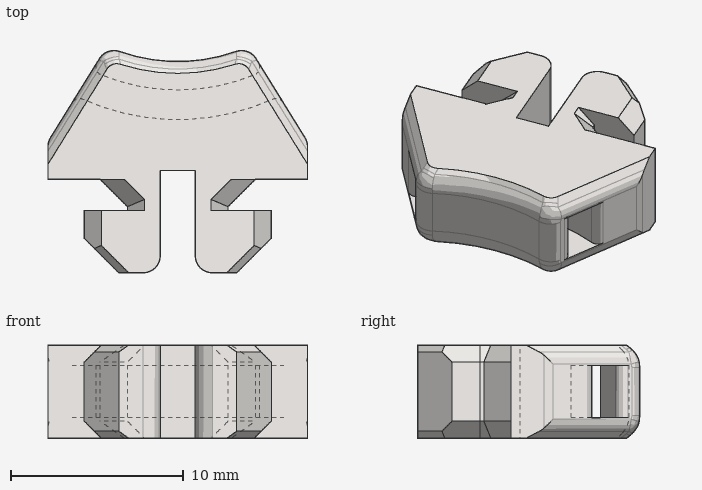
import cadquery as cq
import math

half_width = 7.52
half_thick = 5.4 / 2
body_bottom = 5.42
top_y = 12.88

shoulder_y = 7.6
shoulder_angle = math.radians(58.2)
scoop_radius = 10.01
scoop_bottom = 12.25
head_chamfer = 0.69
round_radius = 1.0
scoop_rim_radius = 1.5
blank_top = 14.3

tunnel_wall = 1.65
tunnel_gap = 1.72
tunnel_height = 3.01
tunnel_lip_radius = 0.5

neck_half_width = 2.92
flare_start = 3.84
foot_top = 3.63
foot_half_width = 5.42
foot_bevel = 2.0
slot_half_width = 1.01
slot_top = 5.93
side_chamfer = 1.0
bevel_chamfer = 0.4
overlap = 0.3
margin = 0.15

scoop_center_y = scoop_bottom + scoop_radius


def shoulder_hit(radius):
    """Point on the right shoulder line where it meets a circle about the scoop center."""
    dx, dy = -math.cos(shoulder_angle), math.sin(shoulder_angle)
    rel_y = shoulder_y - scoop_center_y
    along = half_width * dx + rel_y * dy
    offset = half_width**2 + rel_y**2 - radius**2
    distance = -along - math.sqrt(along**2 - offset)
    return half_width + distance * dx, shoulder_y + distance * dy


def extrude_centered(outline, height):
    return outline.extrude(height / 2, both=True)


def edge_box(x_limit, y_min, y_max, z_min, z_max):
    return cq.selectors.BoxSelector((-x_limit, y_min, z_min), (x_limit, y_max, z_max))


def make_shoulders():
    """Tapered body with chamfered, rounded shoulders, tall enough to be scooped."""
    blank_x = half_width - (blank_top - shoulder_y) / math.tan(shoulder_angle)
    outline = cq.Workplane("XY").polyline([
        (-half_width, body_bottom),
        (half_width, body_bottom),
        (half_width, shoulder_y),
        (blank_x, blank_top),
        (-blank_x, blank_top),
        (-half_width, shoulder_y),
    ]).close()
    body = extrude_centered(outline, 2 * half_thick)
    body = body.faces("<Z or >Z").edges("not (|X or |Y)").chamfer(head_chamfer)
    z_limit = half_thick - head_chamfer + margin
    rounded = edge_box(half_width + margin, shoulder_y - margin, blank_top - margin, -z_limit, z_limit)
    return body.edges(rounded).fillet(round_radius)


def make_scoop():
    """Round cutter whose flared rims leave a chamfer and a rounding along the scoop."""
    rim_z = half_thick - head_chamfer
    half_turn = math.radians(22.5)
    tangent = scoop_rim_radius * math.tan(half_turn)
    diagonal = tangent * math.sqrt(0.5)
    bulge = scoop_rim_radius * (1 - math.cos(half_turn))
    mid_z = rim_z - tangent + scoop_rim_radius * math.sin(half_turn)
    rim_radius = scoop_radius + head_chamfer
    profile = (
        cq.Workplane("XZ")
        .moveTo(0, -half_thick)
        .lineTo(rim_radius, -half_thick)
        .lineTo(scoop_radius + diagonal, -rim_z - diagonal)
        .threePointArc((scoop_radius + bulge, -mid_z), (scoop_radius, -rim_z + tangent))
        .lineTo(scoop_radius, rim_z - tangent)
        .threePointArc((scoop_radius + bulge, mid_z), (scoop_radius + diagonal, rim_z + diagonal))
        .lineTo(rim_radius, half_thick)
        .lineTo(0, half_thick)
        .close()
    )
    cutter = profile.revolve(360, (0, 0), (0, 1))
    return cutter.rotate((0, 0, 0), (0, 0, 1), 90).translate((0, scoop_center_y, 0))


def make_head():
    head = make_shoulders().cut(make_scoop())
    peaks = edge_box(half_width - margin, top_y - margin, blank_top, -margin, margin)
    return head.edges("|Z").edges(peaks).fillet(round_radius)


def make_tunnel():
    """Arc-shaped cutter, concentric with the scoop, open at both shoulders."""
    roof_radius = scoop_radius + tunnel_wall
    floor_radius = roof_radius + tunnel_gap
    roof_x, roof_y = shoulder_hit(roof_radius)
    floor_x, floor_y = shoulder_hit(floor_radius)
    outline = (
        cq.Workplane("XY")
        .moveTo(-floor_x, floor_y)
        .threePointArc((0, scoop_center_y - floor_radius), (floor_x, floor_y))
        .lineTo(roof_x, roof_y)
        .threePointArc((0, scoop_center_y - roof_radius), (-roof_x, roof_y))
        .close()
    )
    return extrude_centered(outline, tunnel_height)


def make_neck():
    flare_end = body_bottom + overlap
    flare_x = neck_half_width + flare_end - flare_start
    neck_bottom = foot_top - overlap
    outline = cq.Workplane("XY").polyline([
        (-neck_half_width, neck_bottom),
        (neck_half_width, neck_bottom),
        (neck_half_width, flare_start),
        (flare_x, flare_end),
        (-flare_x, flare_end),
        (-neck_half_width, flare_start),
    ]).close()
    neck = extrude_centered(outline, 2 * half_thick)
    return neck.faces("<Z or >Z").edges("not |X").chamfer(side_chamfer)


def make_foot():
    tip_x = foot_half_width - foot_bevel
    outline = cq.Workplane("XY").polyline([
        (-tip_x, 0),
        (tip_x, 0),
        (foot_half_width, foot_bevel),
        (foot_half_width, foot_top),
        (-foot_half_width, foot_top),
        (-foot_half_width, foot_bevel),
    ]).close()
    foot = extrude_centered(outline, 2 * half_thick)
    foot = foot.faces("<Z or >Z").edges("|Y").chamfer(side_chamfer)
    bevel_rims = foot.faces("<Z or >Z").edges("not (|X or |Y)")
    return bevel_rims.chamfer(bevel_chamfer)


def make_slot():
    slot = cq.Workplane("XY").rect(2 * slot_half_width, 2 * slot_top)
    return extrude_centered(slot, 2 * half_thick)


head = make_head().cut(make_tunnel())
lips = edge_box(half_width - margin, shoulder_y, top_y, -margin, margin)
head = head.edges("|Z").edges(lips).fillet(tunnel_lip_radius)

result = head.union(make_neck()).union(make_foot()).cut(make_slot())
slot_mouth = edge_box(slot_half_width + margin, -margin, margin, -margin, margin)
result = result.edges("|Z").edges(slot_mouth).fillet(round_radius)